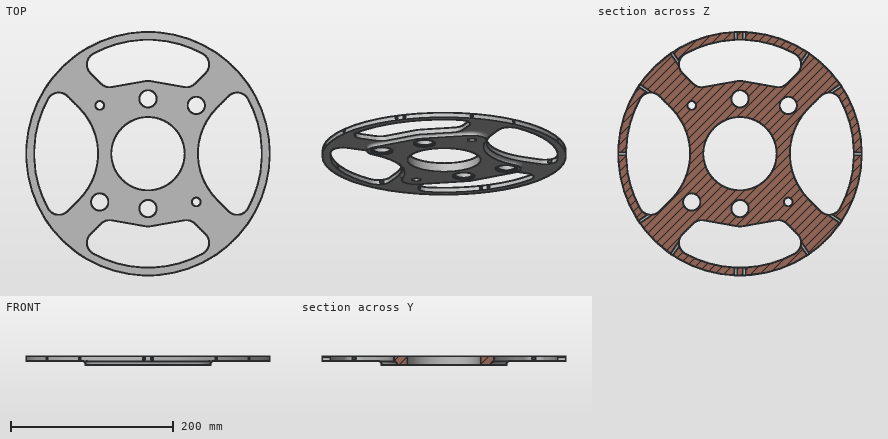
import cadquery as cq
import math

plate_radius = 150.0
plate_thickness = 6.0
bore_radius = 45.0

total_thickness = 11.0
boss_height = total_thickness - plate_thickness
boss_root_fillet = 4.0
lobe_radius = 17.7
boss_ridge_radius = 19.0

rim_width = 10.0
window_radius = plate_radius - rim_width
spoke_half_width = 20.0
window_corner_radius = 15.0
side_window_reach = 61.5
ridge_height = 90.0
ridge_slope = math.radians(10)
ridge_radius = 21.0

large_hole_diameter = 21.0
small_hole_diameter = 10.5
axis_hole_distance = 67.5
diagonal_hole_offset = 59.5
counterbore_diameter = 27.0
counterbore_depth = 1.8

rim_hole_diameter = 3.0
rim_hole_depth = 27.0
spoke_rim_hole_angle = 34.1
paired_rim_hole_angle = 2.0

diagonal = math.sqrt(0.5)
spoke_edge_crossing = spoke_half_width / diagonal

side_arc_radius = (side_window_reach - spoke_edge_crossing) / (1 / diagonal - 1)
side_arc_center = side_window_reach + side_arc_radius

corner_along = math.sqrt(window_radius**2 - spoke_half_width**2)
corner_long = (corner_along + spoke_half_width) * diagonal
corner_short = (corner_along - spoke_half_width) * diagonal


def vertical_edge_near(x, y):
    """Selector for the vertical edge of a window cutter at (x, y)."""
    reach = 1.5
    low = (x - reach, y - reach, -boss_height)
    high = (x + reach, y + reach, plate_thickness)
    return cq.selectors.BoxSelector(low, high)


def side_window():
    """Window on the +X side, bulging toward the bore."""
    tangent_x = side_arc_center - side_arc_radius * diagonal
    tangent_y = side_arc_radius * diagonal
    return (
        cq.Workplane("XY", origin=(0, 0, -boss_height))
        .moveTo(tangent_x, -tangent_y)
        .threePointArc((side_window_reach, 0), (tangent_x, tangent_y))
        .lineTo(corner_long, corner_short)
        .threePointArc((window_radius, 0), (corner_long, -corner_short))
        .close()
        .extrude(total_thickness)
        .edges("|Z and (>Y or <Y)")
        .fillet(window_corner_radius)
    )


def ridge_window():
    """Window on the +Y side, with a shallow ridge pointing outward."""
    foot_x = (ridge_height - spoke_edge_crossing) / (1 + math.tan(ridge_slope))
    foot_y = foot_x + spoke_edge_crossing
    return (
        cq.Workplane("XY", origin=(0, 0, -boss_height))
        .moveTo(0, ridge_height)
        .lineTo(foot_x, foot_y)
        .lineTo(corner_short, corner_long)
        .threePointArc((0, window_radius), (-corner_short, corner_long))
        .lineTo(-foot_x, foot_y)
        .close()
        .extrude(total_thickness)
        .edges("|Z and (<X or >X)")
        .fillet(window_corner_radius)
        .edges(vertical_edge_near(0, ridge_height))
        .fillet(ridge_radius)
        .edges(vertical_edge_near(foot_x, foot_y) + vertical_edge_near(-foot_x, foot_y))
        .fillet(window_corner_radius)
    )


def boss():
    """Raised pad: a lobe around each diagonal hole, joined by ridges (Y) and hollows (X)."""
    lobe = diagonal_hole_offset
    ridge_x = lobe + lobe_radius * math.sin(ridge_slope)
    ridge_y = lobe + lobe_radius * math.cos(ridge_slope)
    peak_y = ridge_y + ridge_x * math.tan(ridge_slope)
    reach = math.hypot(side_arc_center - lobe, lobe)
    hollow_x = lobe + lobe_radius * (side_arc_center - lobe) / reach
    hollow_y = lobe - lobe_radius * lobe / reach
    waist_x = side_arc_center - (reach - lobe_radius)
    tip = lobe + lobe_radius * diagonal
    return (
        cq.Workplane("XY")
        .moveTo(0, peak_y)
        .lineTo(ridge_x, ridge_y)
        .threePointArc((tip, tip), (hollow_x, hollow_y))
        .threePointArc((waist_x, 0), (hollow_x, -hollow_y))
        .threePointArc((tip, -tip), (ridge_x, -ridge_y))
        .lineTo(0, -peak_y)
        .lineTo(-ridge_x, -ridge_y)
        .threePointArc((-tip, -tip), (-hollow_x, -hollow_y))
        .threePointArc((-waist_x, 0), (-hollow_x, hollow_y))
        .threePointArc((-tip, tip), (-ridge_x, ridge_y))
        .close()
        .extrude(-boss_height)
        .edges("|Z and (>Y or <Y)")
        .fillet(boss_ridge_radius)
    )


def hub_cutter(points, diameter, depth):
    """Round cutters that start at the underside of the boss and rise by depth."""
    return (
        cq.Workplane("XY", origin=(0, 0, -boss_height))
        .pushPoints(points)
        .circle(diameter / 2)
        .extrude(depth)
    )


def rim_hole(angle):
    """Cutter from outside the rim toward the centre, deep enough to open into a window."""
    return (
        cq.Workplane("YZ", origin=(plate_radius - rim_hole_depth, 0, plate_thickness / 2))
        .circle(rim_hole_diameter / 2)
        .extrude(rim_hole_depth + rim_hole_diameter)
        .rotate((0, 0, 0), (0, 0, 1), angle)
    )


result = cq.Workplane("XY").circle(plate_radius).extrude(plate_thickness).union(boss())
boss_root = cq.selectors.BoxSelector(
    (-window_radius, -window_radius, -boss_height / 2),
    (window_radius, window_radius, boss_height / 2),
    boundingbox=True,
)
result = result.edges(boss_root).fillet(boss_root_fillet)

for window in (side_window(), ridge_window()):
    result = result.cut(window)
    result = result.cut(window.rotate((0, 0, 0), (0, 0, 1), 180))

offset = diagonal_hole_offset
large_points = [(0, axis_hole_distance), (0, -axis_hole_distance), (offset, offset), (-offset, -offset)]
small_points = [(offset, -offset), (-offset, offset)]
result = result.cut(hub_cutter([(0, 0)], 2 * bore_radius, total_thickness))
result = result.cut(hub_cutter(large_points, large_hole_diameter, total_thickness))
result = result.cut(hub_cutter(large_points, counterbore_diameter, counterbore_depth))
result = result.cut(hub_cutter(small_points, small_hole_diameter, total_thickness))

half_turn_angles = [
    0,
    spoke_rim_hole_angle,
    90 - spoke_rim_hole_angle,
    90 - paired_rim_hole_angle,
    90 + paired_rim_hole_angle,
    90 + spoke_rim_hole_angle,
    180 - spoke_rim_hole_angle,
]
for angle in half_turn_angles:
    result = result.cut(rim_hole(angle))
    result = result.cut(rim_hole(angle + 180))